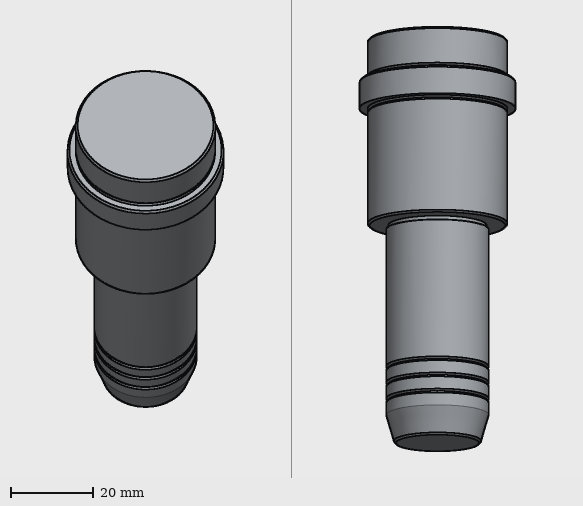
import cadquery as cq
import math

total_length = 100.0
flange_top = 90.0
flange_bottom = 83.0
body_bottom = 54.0
taper_length = 7.0

flange_radius = 19.0
body_radius = 17.0
shank_radius = 12.5
relief_radius = 12.0
taper_angle = 15.0

edge_chamfer = 0.5
relief_width = 1.0
groove_width = 1.0
groove_depth = groove_width / 2
first_groove_bottom = 10.0
groove_pitch = 4.0
groove_count = 3


def cylinder(radius, bottom, top):
    """Solid cylinder on the Z axis between two levels."""
    return cq.Workplane("XY").workplane(offset=bottom).circle(radius).extrude(top - bottom)


def vee_groove(radius, bottom):
    """Ring that cuts a right-angled V groove into a cylinder of the given radius."""
    return (
        cq.Workplane("XZ")
        .moveTo(radius, bottom)
        .lineTo(radius - groove_depth, bottom + groove_width / 2)
        .lineTo(radius, bottom + groove_width)
        .close()
        .revolve(360, (0, 0), (0, 1))
    )


def make_head():
    """Wide body with a flange between two V grooves."""
    body = cylinder(body_radius, body_bottom, total_length)
    body = body.faces("<Z or >Z").edges().chamfer(edge_chamfer)
    for groove_bottom in (flange_top, flange_bottom - groove_width):
        body = body.cut(vee_groove(body_radius, groove_bottom))
    flange = cylinder(flange_radius, flange_bottom, flange_top)
    return body.union(flange.faces(">Z").edges().chamfer(edge_chamfer))


def make_shank():
    """Grooved shank with a tapered tip and a relief below the body."""
    tip_radius = shank_radius - taper_length * math.tan(math.radians(taper_angle))
    relief_bottom = body_bottom - relief_width
    shank = (
        cq.Workplane("XZ")
        .lineTo(tip_radius - edge_chamfer, 0)
        .lineTo(tip_radius, edge_chamfer)
        .lineTo(shank_radius, taper_length)
        .lineTo(shank_radius, relief_bottom)
        .lineTo(relief_radius, relief_bottom)
        .lineTo(relief_radius, body_bottom)
        .lineTo(0, body_bottom)
        .close()
        .revolve(360, (0, 0), (0, 1))
    )
    for index in range(groove_count):
        groove_bottom = first_groove_bottom + index * groove_pitch
        shank = shank.cut(vee_groove(shank_radius, groove_bottom))
    return shank


result = make_head().union(make_shank())